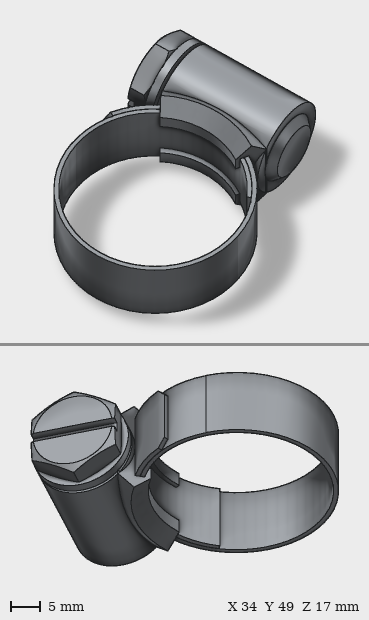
import cadquery as cq
import math

overall_length = 48.95
loop_radius = 17.0
barrel_diameter = 17.0
barrel_radius = barrel_diameter / 2
screw_y = overall_length - loop_radius - barrel_radius

band_thickness = 0.85
band_width = 12.05
overlap_shift = band_thickness / 2
layer_gap = 0.05
outer_end_angle = 154.0
inner_end_angle = 28.0
end_corner_chamfer = 1.45

saddle_center_x = -0.15
saddle_half_angle = 31.5
saddle_inner_radius = 14.85
saddle_crest_radius = 17.75
saddle_outer_radius = 20.55
saddle_inner_half_height = 6.15
saddle_outer_half_height = 6.0
window_height = 7.35

barrel_length = 21.2
barrel_start = saddle_center_x - barrel_length / 2
head_face = -17.05
head_length = 4.15
washer_length = 1.55
washer_start = head_face + head_length
washer_end = washer_start + washer_length
shank_radius = 6.35
tip_projection = 1.5
tip_chamfer = 1.45
barrel_end = barrel_start + barrel_length
screw_end = barrel_end + tip_projection
head_face_radius = 6.95
head_chamfer_length = 0.7
slot_width = 1.7
slot_depth = 1.45


def polar(radius, angle, center_x=0.0):
    """Point at an angle in degrees on a circle centred on the X axis."""
    turn = math.radians(angle)
    return (center_x + radius * math.cos(turn), radius * math.sin(turn))


def arc_strip(inner_radius, outer_radius, start, end, center_x):
    """Curved strip of the band's width between two angles."""
    middle = (start + end) / 2
    return (
        cq.Workplane("XY", origin=(0, 0, -band_width / 2))
        .moveTo(*polar(inner_radius, start, center_x))
        .lineTo(*polar(outer_radius, start, center_x))
        .threePointArc(polar(outer_radius, middle, center_x), polar(outer_radius, end, center_x))
        .lineTo(*polar(inner_radius, end, center_x))
        .threePointArc(polar(inner_radius, middle, center_x), polar(inner_radius, start, center_x))
        .close()
        .extrude(band_width)
    )


def cylinder_x(radius, start, length):
    """Cylinder on the screw axis."""
    return cq.Workplane("YZ", origin=(start, screw_y, 0)).circle(radius).extrude(length)


inner_layer_radius = loop_radius - band_thickness - overlap_shift
outer_layer_radius = inner_layer_radius + band_thickness


def make_band():
    """Lower half turn with an inner and an outer layer over the upper half."""
    lower_half = arc_strip(loop_radius - band_thickness, loop_radius, 180, 360, 0)
    inner_layer = arc_strip(
        inner_layer_radius, outer_layer_radius - layer_gap, inner_end_angle, 180, -overlap_shift
    )
    outer_layer = arc_strip(
        outer_layer_radius, outer_layer_radius + band_thickness, 0, outer_end_angle, -overlap_shift
    )
    end_corners = outer_layer.faces("<X").edges("not |Z").edges(">Z or <Z")
    outer_layer = end_corners.chamfer(end_corner_chamfer)
    return lower_half.union(inner_layer).union(outer_layer)


def make_saddle():
    """Hexagonal section revolved under the barrel, with a window onto the inner layer."""
    saddle = (
        cq.Workplane("XZ")
        .polyline([
            (saddle_inner_radius, -saddle_inner_half_height),
            (saddle_crest_radius, -barrel_radius),
            (saddle_outer_radius, -saddle_outer_half_height),
            (saddle_outer_radius, saddle_outer_half_height),
            (saddle_crest_radius, barrel_radius),
            (saddle_inner_radius, saddle_inner_half_height),
        ])
        .close()
        .revolve(2 * saddle_half_angle, (0, 0, 0), (0, 1, 0))
        .rotate((0, 0, 0), (0, 0, 1), 90 - saddle_half_angle)
        .translate((saddle_center_x, 0, 0))
    )
    window = (
        cq.Workplane("XY", origin=(-overlap_shift, 0, -window_height / 2))
        .circle(inner_layer_radius)
        .extrude(window_height)
    )
    return saddle.cut(window)


def make_clamp():
    """Band, saddle and barrel in one piece, bored through for the screw."""
    barrel = cylinder_x(barrel_radius, barrel_start, barrel_length)
    bore = cylinder_x(shank_radius, washer_end, screw_end - washer_end)
    return make_saddle().union(barrel).union(make_band()).cut(bore)


def make_screw_head():
    """Slotted hexagon with its corners coned off on both sides."""
    hexagon = (
        cq.Workplane("YZ", origin=(head_face, screw_y, 0))
        .transformed(rotate=(0, 0, 90))
        .polygon(6, barrel_diameter)
        .extrude(head_length)
    )
    cone_limit = (
        cylinder_x(barrel_radius, head_face, head_length)
        .faces("<X or >X")
        .chamfer(head_chamfer_length, barrel_radius - head_face_radius)
    )
    slot = cq.Workplane("XY").box(2 * slot_depth, 2 * barrel_diameter, slot_width)
    return hexagon.intersect(cone_limit).cut(slot.translate((head_face, screw_y, 0)))


def make_screw():
    """Head, washer flange and plain shank with a chamfered tip."""
    washer = cylinder_x(barrel_radius, washer_start, washer_length)
    shank = cylinder_x(shank_radius, washer_start, screw_end - washer_start)
    shank = shank.faces(">X").chamfer(tip_chamfer)
    return make_screw_head().union(washer).union(shank)


clamp = make_clamp()
screw = make_screw()
result = cq.Compound.makeCompound([clamp.solids().val(), screw.solids().val()])